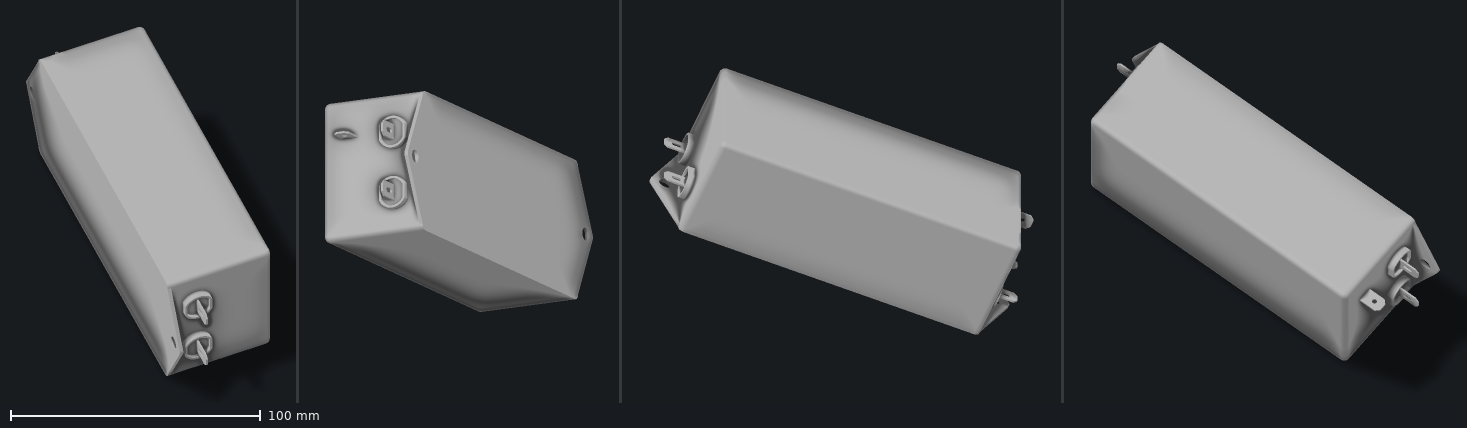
import cadquery as cq
import math

overall_length = 155.5
overall_depth = 45.4
overall_height = 57.5

case_length = 130.5
corner_radius = 2.5

plate_thickness = 1.5
ear_half_angle = math.radians(64.2)
ear_hole_diameter = 5.3
ear_hole_spacing = 143.0

collar_diameter = 13.0
collar_width = 11.7
collar_wall = 1.0
collar_length = 3.0
collar_recess_depth = 1.7
collar_y = 12.5
collar_spacing = 24.9

blade_width = 6.4
blade_thickness = 0.8
blade_chamfer = 1.5
blade_hole_diameter = 2.0
blade_hole_to_tip = 4.2
blade_root = 1.5
terminal_tip_x = 76.5
terminal_slot_travel = 2.3

earth_tip_x = 74.5
earth_y = 32.8
earth_z = 13.0

case_end_x = case_length / 2


def make_case():
    """Box with every edge rounded except those around the mounting face."""
    block = cq.Workplane("XY").box(case_length, overall_depth, overall_height)
    block = block.translate((0, overall_depth / 2, 0))
    return block.edges("|Y").fillet(corner_radius).faces(">Y").edges().fillet(corner_radius)


def make_plate():
    """Hexagonal plate whose rounded ear tips span the overall length."""
    half_height = overall_height / 2
    sharp_tip_x = overall_length / 2 + corner_radius * (1 / math.sin(ear_half_angle) - 1)
    shoulder_x = sharp_tip_x - half_height / math.tan(ear_half_angle)
    outline = [
        (-sharp_tip_x, 0),
        (-shoulder_x, half_height),
        (shoulder_x, half_height),
        (sharp_tip_x, 0),
        (shoulder_x, -half_height),
        (-shoulder_x, -half_height),
    ]
    plate = cq.Workplane("XZ").polyline(outline).close().extrude(-plate_thickness)
    plate = plate.edges("|Y").fillet(corner_radius)
    holes = (
        cq.Workplane("XZ")
        .pushPoints([(-ear_hole_spacing / 2, 0), (ear_hole_spacing / 2, 0)])
        .circle(ear_hole_diameter / 2)
        .extrude(-plate_thickness)
    )
    return plate.cut(holes)


def flatted_cylinder(diameter, width, length):
    """Cylinder along +X from the origin, with flats on its two Y sides."""
    cylinder = cq.Workplane("YZ").circle(diameter / 2).extrude(length)
    flats = cq.Workplane("YZ").rect(width, diameter).extrude(length)
    return cylinder.intersect(flats)


def make_collar():
    """Recessed collar standing on the +X end face, centred on the X axis."""
    outer = flatted_cylinder(collar_diameter, collar_width, collar_length)
    recess = flatted_cylinder(
        collar_diameter - 2 * collar_wall,
        collar_width - 2 * collar_wall,
        collar_recess_depth,
    )
    recess = recess.translate((collar_length - collar_recess_depth, 0, 0))
    return outer.cut(recess).translate((case_end_x, 0, 0))


def make_blade(tip_x, slot_travel=0):
    """Blade pointing along +X, flat in XY, with its tip at tip_x.

    The hole is round, or a slot reaching back from the tip when slot_travel is given.
    """
    root_x = case_end_x - blade_root
    blade = cq.Workplane("XY").box(tip_x - root_x, blade_width, blade_thickness)
    blade = blade.edges(">X and |Z").chamfer(blade_chamfer)
    blade = blade.translate(((root_x + tip_x) / 2, 0, 0))
    hole = cq.Workplane("XY").center(tip_x - blade_hole_to_tip - slot_travel / 2, 0)
    if slot_travel:
        hole = hole.slot2D(slot_travel + blade_hole_diameter, blade_hole_diameter)
    else:
        hole = hole.circle(blade_hole_diameter / 2)
    return blade.cut(hole.extrude(blade_thickness, both=True))


def make_terminal():
    """Pieces of one terminal: collar and upright blade, on the +X end at Y = Z = 0."""
    blade = make_blade(terminal_tip_x, terminal_slot_travel).rotate((0, 0, 0), (1, 0, 0), 90)
    return [make_collar(), blade]


result = make_case().union(make_plate())

for terminal_z in (-collar_spacing / 2, collar_spacing / 2):
    for piece in make_terminal():
        placed = piece.translate((0, collar_y, terminal_z))
        result = result.union(placed).union(placed.mirror("YZ"))

earth_blade = make_blade(earth_tip_x).mirror("YZ")
result = result.union(earth_blade.translate((0, earth_y, earth_z)))